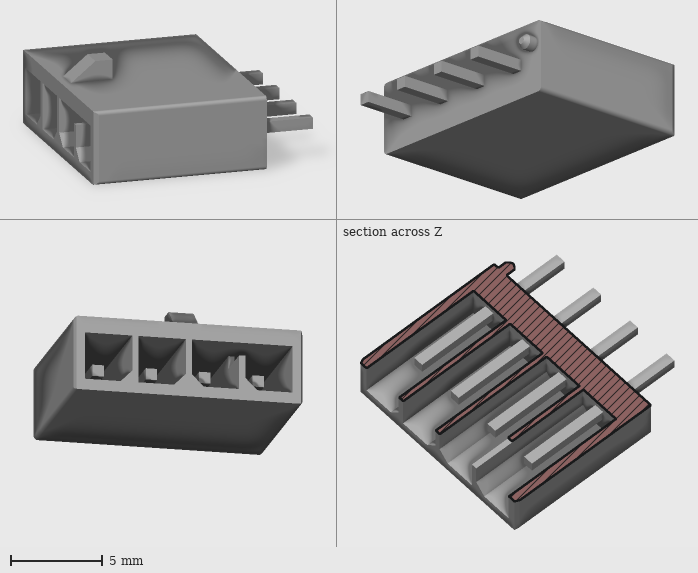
import cadquery as cq

total_length = 13.09
body_width = 12.85
body_depth = 9.92
body_height = 4.19
side_edge_radius = 0.22
front_bevel_width = 0.13
front_bevel_depth = 0.27

pitch = 3.0
cavity_size = 2.65
cavity_floor = 0.62
cavity_depth = 7.85
cavity_bevel = 0.65
pin_size = 0.64
pin_recess = 2.62
notch_height = 0.72
notch_depth = 2.62
cavity_center_z = cavity_floor + cavity_size / 2
cavity_top = cavity_floor + cavity_size
cavity_centers = [(i - 1.5) * pitch for i in range(4)]

latch_width = 1.41
latch_height = 1.14
latch_front = 0.51
latch_length = 2.4
latch_flat = 1.0

peg_inset = 0.68
peg_z = 2.9
peg_diameter = 0.85
peg_tip_diameter = 0.4
peg_length = 0.84
peg_taper = 0.27


def box(width, depth, height, x, front_y, bottom_z):
    """Box centred on x, growing rearward from front_y and up from bottom_z."""
    block = cq.Workplane("XY").box(width, depth, height, centered=(True, False, False))
    return block.translate((x, front_y, bottom_z))


def make_body():
    """Block with rounded long side edges and bevelled front side edges."""
    body = box(body_width, body_depth, body_height, 0, 0, 0).edges("|Y").fillet(side_edge_radius)
    half = body_width / 2
    plan = [
        (half - front_bevel_width, 0),
        (half, front_bevel_depth),
        (half, body_depth),
        (-half, body_depth),
        (-half, front_bevel_depth),
        (front_bevel_width - half, 0),
    ]
    return body.intersect(cq.Workplane("XY").polyline(plan).close().extrude(body_height))


def make_cavity(x):
    """Square cavity whose lower corner nearest the middle is bevelled."""
    inner_corner = "<X" if x > 0 else ">X"
    cavity = box(cavity_size, cavity_depth, cavity_size, x, 0, cavity_floor)
    return cavity.edges("|Y").edges("<Z").edges(inner_corner).chamfer(cavity_bevel)


def make_latch():
    """Wedge that ramps up from the front and ends in a steep rear stop."""
    rear = latch_front + latch_length
    profile = [
        (latch_front, body_height),
        (rear, body_height),
        (rear, body_height + latch_height),
        (rear - latch_flat, body_height + latch_height),
    ]
    return cq.Workplane("YZ").polyline(profile).close().extrude(latch_width / 2, both=True)


def make_peg():
    """Round peg with a conical tip."""
    radius = peg_diameter / 2
    tip_radius = peg_tip_diameter / 2
    profile = [
        (0, 0),
        (radius, 0),
        (radius, peg_length - peg_taper),
        (tip_radius, peg_length),
        (0, peg_length),
    ]
    peg = cq.Workplane("XY").polyline(profile).close().revolve(360, (0, 0), (0, 1))
    return peg.translate((peg_inset - body_width / 2, body_depth, peg_z))


result = make_body().union(make_latch()).union(make_peg())

for center in cavity_centers:
    result = result.cut(make_cavity(center))

notch_x = (cavity_centers[2] + cavity_centers[3]) / 2
notch_width = pitch - cavity_size
result = result.cut(box(notch_width, notch_depth, notch_height, notch_x, 0, cavity_top - notch_height))

pin_length = total_length - pin_recess
for center in cavity_centers:
    pin_bottom = cavity_center_z - pin_size / 2
    result = result.union(box(pin_size, pin_length, pin_size, center, pin_recess, pin_bottom))